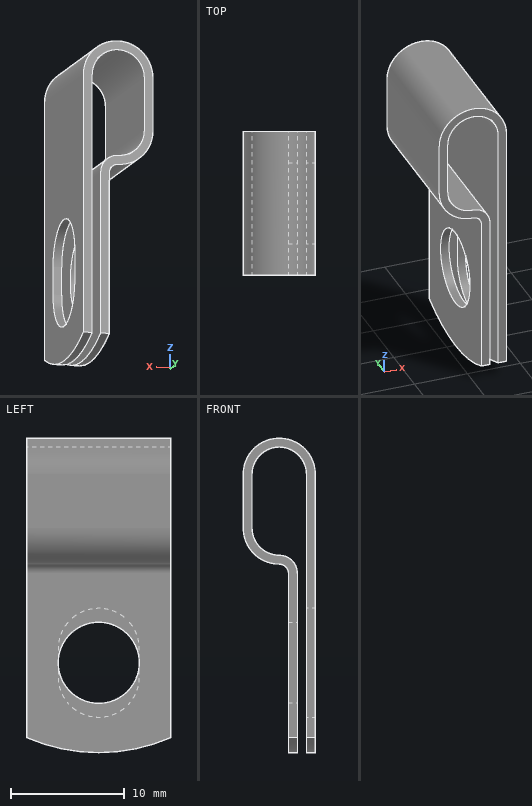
import cadquery as cq
import math

height = 27.7
strap_width = 12.7
loop_width = 6.37
thickness = 0.8
loop_straight = 4.75
hole_diameter = 7.12
slot_travel = 2.5
hole_height = 7.92
end_rise = 1.33

outer_radius = loop_width / 2
inner_radius = outer_radius - thickness
upper_center = height - outer_radius
lower_center = upper_center - loop_straight

bend_inner = thickness
bend_outer = bend_inner + thickness
bend_center = lower_center - outer_radius - bend_inner

diagonal = math.sqrt(0.5)


def make_strap():
    """Bent strip, centred on the loop in X and on the strap in Y."""
    profile = (
        cq.Workplane("XZ")
        .moveTo(outer_radius, 0)
        .lineTo(outer_radius, upper_center)
        .threePointArc((0, height), (-outer_radius, upper_center))
        .lineTo(-outer_radius, lower_center)
        .threePointArc(
            (-outer_radius * diagonal, lower_center - outer_radius * diagonal),
            (0, lower_center - outer_radius),
        )
        .threePointArc(
            (bend_inner * diagonal, bend_center + bend_inner * diagonal),
            (bend_inner, bend_center),
        )
        .lineTo(bend_inner, 0)
        .lineTo(bend_outer, 0)
        .lineTo(bend_outer, bend_center)
        .threePointArc(
            (bend_outer * diagonal, bend_center + bend_outer * diagonal),
            (0, bend_center + bend_outer),
        )
        .threePointArc(
            (-inner_radius * diagonal, lower_center - inner_radius * diagonal),
            (-inner_radius, lower_center),
        )
        .lineTo(-inner_radius, upper_center)
        .threePointArc((0, upper_center + inner_radius), (inner_radius, upper_center))
        .lineTo(inner_radius, 0)
        .close()
    )
    return profile.extrude(strap_width / 2, both=True)


def make_side_outline():
    """Prism along X: rectangular strap with an arc across the leg ends."""
    half_width = strap_width / 2
    return (
        cq.Workplane("YZ")
        .moveTo(-half_width, height)
        .lineTo(-half_width, end_rise)
        .threePointArc((0, 0), (half_width, end_rise))
        .lineTo(half_width, height)
        .close()
        .extrude(loop_width, both=True)
    )


def make_screw_hole():
    """Round cutter through the front leg, ending between the legs."""
    gap_middle = (bend_outer + inner_radius) / 2
    return (
        cq.Workplane("YZ")
        .center(0, hole_height)
        .circle(hole_diameter / 2)
        .extrude(gap_middle)
    )


def make_adjusting_slot():
    """Vertical slot cutter through the back leg."""
    return (
        cq.Workplane("YZ", origin=(inner_radius, 0, hole_height))
        .slot2D(slot_travel + hole_diameter, hole_diameter, 90)
        .extrude(thickness)
    )


strap = make_strap().intersect(make_side_outline())
result = strap.cut(make_screw_hole()).cut(make_adjusting_slot())